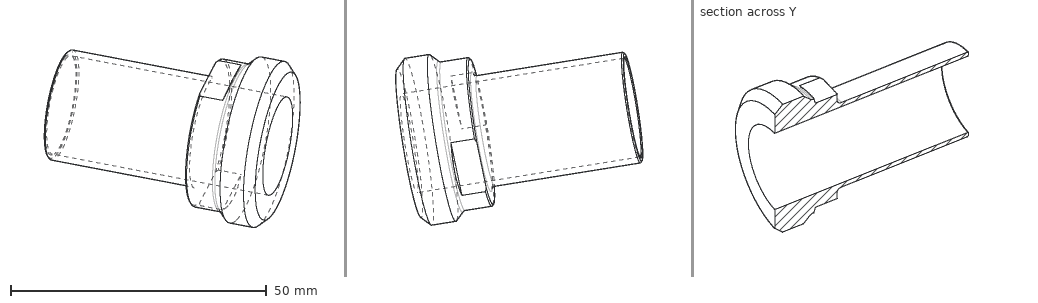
import cadquery as cq
import math

length = 44.5
bore_diameter = 19.6
tube_diameter = 22.0
collar_diameter = 29.5
flange_diameter = 33.1

collar_start = 30.13
flange_start = 37.85
flange_chamfer = 1.82
tube_fillet = 0.9
cone_fillet = 0.8
edge_chamfer = 0.3
bore_chamfer = 0.22

flat_distance = 13.5
flat_end = 35.1
flat_wall_angle = 15.0

bore_radius = bore_diameter / 2
tube_radius = tube_diameter / 2
collar_radius = collar_diameter / 2
flange_radius = flange_diameter / 2


def turned_body():
    """Tube, collar and double-bevelled flange with the bore through them."""
    diagonal = math.sqrt(0.5)

    tube_arc_start = collar_start - tube_fillet
    tube_arc_middle = (
        tube_arc_start + tube_fillet * diagonal,
        tube_radius + tube_fillet * (1 - diagonal),
    )

    arc_angle = math.radians(45)
    cone_foot = flange_start - (flange_radius - collar_radius)
    cone_arc_start = cone_foot - cone_fillet * math.tan(arc_angle / 2)

    def cone_arc_point(angle):
        x = cone_arc_start + cone_fillet * math.sin(angle)
        radius = collar_radius + cone_fillet * (1 - math.cos(angle))
        return (x, radius)

    profile = (
        cq.Workplane("XY")
        .moveTo(0, bore_radius + bore_chamfer)
        .lineTo(0, tube_radius - edge_chamfer)
        .lineTo(edge_chamfer, tube_radius)
        .lineTo(tube_arc_start, tube_radius)
        .threePointArc(tube_arc_middle, (collar_start, tube_radius + tube_fillet))
        .lineTo(collar_start, collar_radius - edge_chamfer)
        .lineTo(collar_start + edge_chamfer, collar_radius)
        .lineTo(cone_arc_start, collar_radius)
        .threePointArc(cone_arc_point(arc_angle / 2), cone_arc_point(arc_angle))
        .lineTo(flange_start, flange_radius)
        .lineTo(length - flange_chamfer, flange_radius)
        .lineTo(length, flange_radius - flange_chamfer)
        .lineTo(length, bore_radius)
        .lineTo(bore_chamfer, bore_radius)
        .close()
    )
    return profile.revolve(360, (0, 0, 0), (1, 0, 0))


def flat_cutter():
    """Material above the upper wrench flat, with a sloping end wall."""
    height = collar_radius - flat_distance
    wall_run = height * math.tan(math.radians(flat_wall_angle))
    return (
        cq.Workplane("XZ")
        .moveTo(collar_start, flat_distance)
        .lineTo(flat_end, flat_distance)
        .lineTo(flat_end + wall_run, collar_radius)
        .lineTo(collar_start, collar_radius)
        .close()
        .extrude(collar_radius, both=True)
    )


upper_flat = flat_cutter()
lower_flat = upper_flat.mirror("XY")
result = turned_body().cut(upper_flat).cut(lower_flat)